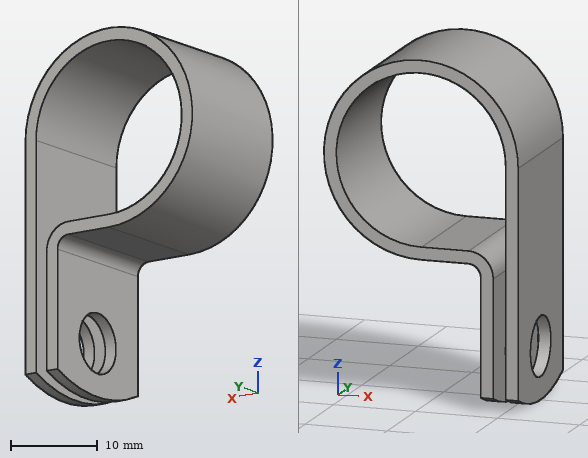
import cadquery as cq

height = 41.15
width = 15.88
loop_diameter = 23.65
thickness = 1.52
leg_gap = 1.52
bend_inner_radius = 1.52
hole_diameter = 7.2
hole_height = 6.38
end_sag = 1.73

outer_radius = loop_diameter / 2
inner_radius = outer_radius - thickness
loop_z = height - outer_radius
shelf_bottom = loop_z - outer_radius
shelf_top = shelf_bottom + thickness
short_leg_outer = inner_radius - leg_gap
short_leg_inner = short_leg_outer - thickness
bend_outer_radius = bend_inner_radius + thickness
bend_x = short_leg_outer - bend_outer_radius
bend_z = shelf_top - bend_outer_radius


def make_strap():
    """Bent strip: long leg, three-quarter loop, shelf, bend and short leg."""
    return (
        cq.Workplane("XZ")
        .moveTo(outer_radius, 0)
        .lineTo(outer_radius, loop_z)
        .threePointArc((0, height), (-outer_radius, loop_z))
        .radiusArc((0, shelf_bottom), -outer_radius)
        .lineTo(bend_x, shelf_bottom)
        .radiusArc((short_leg_inner, bend_z), bend_inner_radius)
        .lineTo(short_leg_inner, 0)
        .lineTo(short_leg_outer, 0)
        .lineTo(short_leg_outer, bend_z)
        .radiusArc((bend_x, shelf_top), -bend_outer_radius)
        .lineTo(0, shelf_top)
        .radiusArc((-inner_radius, loop_z), inner_radius)
        .threePointArc((0, loop_z + inner_radius), (inner_radius, loop_z))
        .lineTo(inner_radius, 0)
        .close()
        .extrude(width / 2, both=True)
    )


def make_side_outline():
    """Block whose rounded lower edge trims both leg tips."""
    return (
        cq.Workplane("YZ")
        .moveTo(-width / 2, height)
        .lineTo(-width / 2, end_sag)
        .threePointArc((0, 0), (width / 2, end_sag))
        .lineTo(width / 2, height)
        .close()
        .extrude(outer_radius, both=True)
    )


def make_bolt_hole():
    """Cylinder that passes through both legs."""
    return (
        cq.Workplane("YZ")
        .center(0, hole_height)
        .circle(hole_diameter / 2)
        .extrude(outer_radius)
    )


result = make_strap().intersect(make_side_outline()).cut(make_bolt_hole())